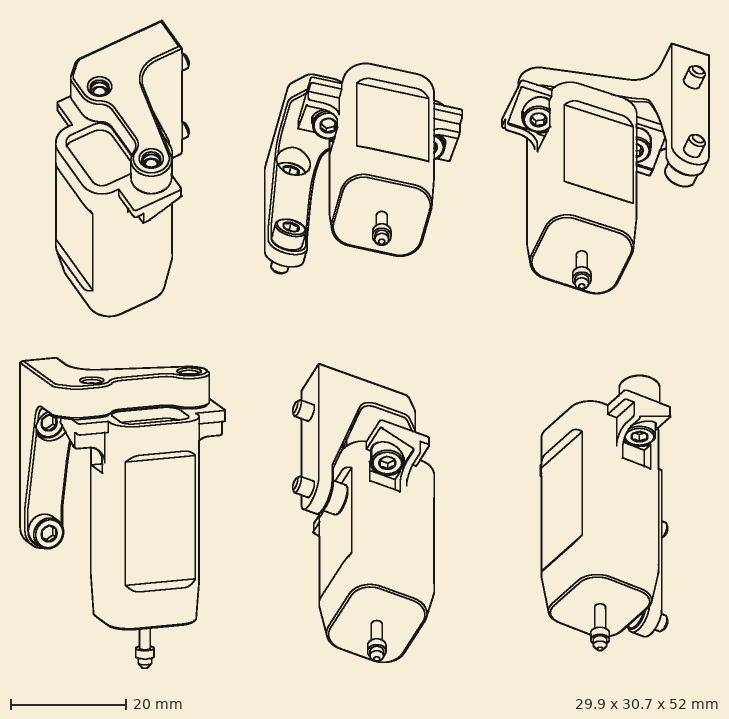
import cadquery as cq
import math

overall_x = 29.85

body_width = 16.15
body_depth = 17.45
body_height = 37.0
body_corner_radius = 4.0
body_bottom_chamfer = 0.3
taper_height = 7.05
taper_angle = 12.0
grip_depth = 0.8
grip_top = 31.8
grip_bottom = 7.25
grip_ramp = 1.2
pocket_width = 12.5
pocket_front_y = -6.85
pocket_depth = 2.0
pocket_front_radius = 2.0

flange_width = 27.2
flange_depth = 9.5
flange_y = 1.05
flange_thickness = 2.0
flange_corner_radius = 0.4
rib_height = 4.95
rib_fillet = 3.0
rib_front_y = -1.85
rib_flat_depth = 1.25

thread_diameter = 3.0
head_diameter = 5.5
head_height = 3.0
head_chamfer = 0.25
socket_sides = 6
socket_corner_diameter = 2.9
socket_countersink = 0.2
socket_depth = 1.55
thread_end_chamfer = 0.45
flange_screw_x = 9.0
flange_screw_y = 2.3
flange_screw_length = 6.4
mount_screw_x = -13.0
mount_screw_spacing = 19.95
mount_screw_length = 6.0
mount_screw_tip_y = 22.0
mount_screw_projection = 3.0
head_pocket_width = 5.8
head_pocket_height = 5.15

plate_thickness = 6.0
boss_radius = 3.55
arm_angle = 12.0
arm_fillet = 5.0
leg_width = 7.0
screw_drop = 10.05
slope_angle = 16.6
slope_fillet = 3.0
pad_height = 7.6
outer_corner_cut = 3.0
outer_corner_radius = 2.0
relief_radius = 2.5
relief_y = 1.8
bracket_chamfer = 0.4
counterbore_diameter = 6.0
countersink_diameter = 4.2
countersink_depth = 0.3

insert_diameter = 3.3
insert_recess = 0.95

needle_shaft_diameter = 1.9
needle_collar_diameter = 3.2
needle_nose_diameter = 2.4
needle_tip_diameter = 1.05
needle_collar_top = -5.5
needle_collar_bottom = -7.0
needle_cone_top = -8.15
needle_tip = -9.0

plate_top = body_height + plate_thickness
rib_bottom = body_height - rib_height
flange_bottom = body_height - flange_thickness
flange_back_y = flange_y + flange_depth / 2
leg_left = flange_width / 2 - overall_x
leg_right = leg_left + leg_width
leg_back_y = mount_screw_tip_y - mount_screw_projection
pad_y = mount_screw_tip_y - mount_screw_length
upper_screw_z = plate_top - screw_drop
lower_screw_z = upper_screw_z - mount_screw_spacing
leg_bottom = lower_screw_z - leg_width / 2


def cap_screw(length):
    """Socket head cap screw: seat at Z = 0, thread along +Z, head along -Z."""
    head = (
        cq.Workplane("XY").workplane(offset=-head_height)
        .circle(head_diameter / 2).extrude(head_height)
        .faces("<Z").edges().chamfer(head_chamfer)
    )
    thread = (
        cq.Workplane("XY").circle(thread_diameter / 2).extrude(length)
        .faces(">Z").edges().chamfer(thread_end_chamfer)
    )
    socket = (
        cq.Workplane("XY").workplane(offset=-head_height)
        .transformed(rotate=(0, 0, 180 / socket_sides))
        .polygon(socket_sides, socket_corner_diameter).extrude(socket_depth)
    )
    countersink = cq.Workplane(
        cq.Solid.makeCone(
            socket_corner_diameter / 2, socket_corner_diameter / 2 - socket_countersink,
            socket_countersink, cq.Vector(0, 0, -head_height),
        )
    )
    return head.union(thread).cut(socket).cut(countersink)


def flange_screws():
    """Two screws that rise through the flange into the bracket."""
    screw = cap_screw(flange_screw_length)
    return [
        screw.translate((side * flange_screw_x, flange_screw_y, flange_bottom))
        for side in (-1, 1)
    ]


def mount_screws():
    """Two screws that pass backwards through the bracket's leg."""
    screw = cap_screw(mount_screw_length).rotate((0, 0, 0), (1, 0, 0), -90)
    return [
        screw.translate((mount_screw_x, pad_y, z))
        for z in (lower_screw_z, upper_screw_z)
    ]


def tapered_body():
    """Rounded prism whose front and back lean inwards towards the lower end."""
    reach = 2 * body_height
    body = cq.Workplane("XY").rect(body_width, body_depth).extrude(body_height)
    body = body.edges("|Z").fillet(body_corner_radius)
    for side in (-1, 1):
        leaning = (
            cq.Workplane("XY").workplane(offset=-reach)
            .center(0, -side * body_depth / 2)
            .rect(body_width, 2 * body_depth).extrude(2 * reach)
            .edges("|Z").fillet(body_corner_radius)
            .translate((0, 0, taper_height))
        )
        pivot_y = side * body_depth / 2
        leaning = leaning.rotate(
            (0, pivot_y, taper_height), (1, pivot_y, taper_height), -side * taper_angle
        )
        body = body.intersect(leaning)
    return body.faces("<Z").edges().chamfer(body_bottom_chamfer)


def grip_recesses():
    """Flat recesses with sloping ends across the front and back."""
    face_y = body_depth / 2
    floor_y = face_y - grip_depth
    recess = (
        cq.Workplane("YZ").workplane(offset=-body_width / 2)
        .moveTo(face_y, grip_bottom).lineTo(floor_y, grip_bottom + grip_ramp)
        .lineTo(floor_y, grip_top - grip_ramp).lineTo(face_y, grip_top)
        .close().extrude(body_width)
    )
    return recess.union(recess.mirror("XZ"))


def flange():
    return (
        cq.Workplane("XY").workplane(offset=flange_bottom)
        .center(0, flange_y).rect(flange_width, flange_depth).extrude(flange_thickness)
        .edges("|Z").fillet(flange_corner_radius)
    )


def ribs():
    """Ribs below the flange; their underside rises from a front strip to the flange's back edge."""
    half_width = flange_width / 2
    half_body = body_width / 2
    outline = (
        cq.Workplane("XZ", origin=(0, flange_back_y, 0))
        .moveTo(0, flange_bottom).lineTo(half_width, flange_bottom)
        .lineTo(half_width, rib_bottom + flange_corner_radius)
        .radiusArc((half_width - flange_corner_radius, rib_bottom), flange_corner_radius)
        .lineTo(half_body + rib_fillet, rib_bottom)
        .radiusArc((half_body, rib_bottom - rib_fillet), -rib_fillet)
        .lineTo(0, rib_bottom - rib_fillet)
        .close().extrude(flange_back_y - rib_front_y)
    )
    slope_start_y = rib_front_y + rib_flat_depth
    side_profile = (
        cq.Workplane("YZ")
        .moveTo(slope_start_y, rib_bottom - rib_fillet)
        .lineTo(slope_start_y, rib_bottom + flange_corner_radius)
        .lineTo(flange_back_y, flange_bottom).lineTo(flange_back_y, rib_bottom - rib_fillet)
        .close().extrude(half_width)
    )
    rib = outline.cut(side_profile)
    return rib.union(rib.mirror("YZ"))


def head_pockets():
    """Thread holes, round counterbores and square pockets that give the flange screws room."""
    floor_z = rib_bottom - head_pocket_height
    pockets = cq.Workplane("XY")
    for side in (-1, 1):
        thread_hole = (
            cq.Workplane("XY").workplane(offset=flange_bottom)
            .circle(thread_diameter / 2).extrude(flange_thickness)
        )
        counterbore = (
            cq.Workplane("XY").workplane(offset=rib_bottom)
            .circle(head_pocket_width / 2).extrude(flange_bottom - rib_bottom)
        )
        pocket = (
            cq.Workplane("XY").workplane(offset=floor_z)
            .rect(head_pocket_width, head_pocket_width).extrude(head_pocket_height)
        )
        access = thread_hole.union(counterbore).union(pocket)
        pockets = pockets.union(access.translate((side * flange_screw_x, flange_screw_y, 0)))
    return pockets


def top_pocket():
    """Shallow pocket in the top face, ending below the front edge of the bracket's plate."""
    length = relief_y - pocket_front_y
    return (
        cq.Workplane("XY").workplane(offset=body_height - pocket_depth)
        .center(0, pocket_front_y + length / 2)
        .rect(pocket_width, length).extrude(pocket_depth)
        .edges("|Z and >Y").fillet(relief_radius)
        .edges("|Z and <Y").fillet(pocket_front_radius)
    )


def make_housing():
    body = tapered_body().cut(grip_recesses())
    return body.union(flange()).union(ribs()).cut(head_pockets()).cut(top_pocket())


def bracket_plan():
    """Plan outline of the bracket, extruded from the lower mounting screw up to the top face."""
    lean = math.radians(arm_angle)
    boss_bottom_y = flange_screw_y - boss_radius

    arm_end = (
        flange_screw_x + boss_radius * math.sin(lean),
        flange_screw_y + boss_radius * math.cos(lean),
    )
    arm_corner_y = arm_end[1] + (arm_end[0] - leg_right) * math.tan(lean)
    fillet_length = arm_fillet * math.tan((math.pi / 2 - lean) / 2)
    fillet_start = (leg_right, arm_corner_y + fillet_length)
    fillet_end = (
        leg_right + fillet_length * math.cos(lean),
        arm_corner_y - fillet_length * math.sin(lean),
    )

    relief_center_y = relief_y - relief_radius
    reach = boss_radius + relief_radius
    rise = flange_screw_y - relief_center_y
    run = math.sqrt(reach**2 - rise**2)
    relief_x = flange_screw_x - run
    touch_x = flange_screw_x - run * boss_radius / reach
    touch_y = flange_screw_y - rise * boss_radius / reach

    tangent = outer_corner_radius * math.tan(math.pi / 8)
    diagonal = tangent * math.sqrt(0.5)
    cut_y = boss_bottom_y + outer_corner_cut
    cut_x = leg_left + outer_corner_cut

    return (
        cq.Workplane("XY").workplane(offset=lower_screw_z)
        .moveTo(leg_left, leg_back_y).lineTo(leg_right, leg_back_y)
        .lineTo(*fillet_start).radiusArc(fillet_end, -arm_fillet)
        .lineTo(*arm_end)
        .threePointArc((flange_screw_x + boss_radius, flange_screw_y), (flange_screw_x, boss_bottom_y))
        .radiusArc((touch_x, touch_y), boss_radius)
        .radiusArc((relief_x, relief_y), -relief_radius)
        .lineTo(-relief_x, relief_y)
        .radiusArc((-touch_x, touch_y), -relief_radius)
        .radiusArc((-flange_screw_x, boss_bottom_y), boss_radius)
        .lineTo(cut_x + tangent, boss_bottom_y)
        .radiusArc((cut_x - diagonal, boss_bottom_y + diagonal), outer_corner_radius)
        .lineTo(leg_left + diagonal, cut_y - diagonal)
        .radiusArc((leg_left, cut_y + tangent), outer_corner_radius)
        .close().extrude(plate_top - lower_screw_z)
    )


def bracket_side():
    """Side profile of the bracket: top plate, sloping web and lower pad."""
    front_y = -body_depth
    pad_top = leg_bottom + pad_height
    slope_run = (body_height - pad_top) * math.tan(math.radians(slope_angle))
    profile = (
        cq.Workplane("YZ").workplane(offset=-overall_x)
        .moveTo(leg_back_y, leg_bottom).lineTo(leg_back_y, plate_top)
        .lineTo(front_y, plate_top).lineTo(front_y, body_height)
        .lineTo(pad_y - slope_run, body_height).lineTo(pad_y, pad_top)
        .lineTo(pad_y, leg_bottom)
        .close().extrude(2 * overall_x)
    )
    inner_corner = cq.selectors.NearestToPointSelector((0, pad_y - slope_run, body_height))
    return profile.edges("|X").edges(inner_corner).fillet(slope_fillet)


def leg_end():
    """Rounded lower end of the leg, around the lower mounting screw."""
    return (
        cq.Workplane("XZ", origin=(leg_left + leg_width / 2, leg_back_y, lower_screw_z))
        .circle(leg_width / 2).extrude(leg_back_y - pad_y)
    )


def insert_holes():
    """Holes through the top plate, countersunk at the top."""
    hole_radius = insert_diameter / 2
    rim_radius = countersink_diameter / 2
    profile = (
        cq.Workplane("XZ").moveTo(0, body_height).lineTo(hole_radius, body_height)
        .lineTo(hole_radius, plate_top - countersink_depth)
        .lineTo(rim_radius, plate_top).lineTo(0, plate_top)
        .close().revolve(360, (0, 0, 0), (0, 1, 0))
    )
    holes = cq.Workplane("XY")
    for side in (-1, 1):
        holes = holes.union(profile.translate((side * flange_screw_x, flange_screw_y, 0)))
    return holes


def mount_holes():
    """Thread holes through the leg; the upper one is counterbored out of the slope."""
    holes = (
        cq.Workplane("XZ", origin=(mount_screw_x, leg_back_y, 0))
        .pushPoints([(0, lower_screw_z), (0, upper_screw_z)])
        .circle(thread_diameter / 2).extrude(leg_back_y - pad_y)
    )
    counterbore = (
        cq.Workplane("XZ", origin=(mount_screw_x, pad_y, upper_screw_z))
        .circle(counterbore_diameter / 2).extrude(pad_y)
    )
    return holes.union(counterbore)


def make_bracket():
    bracket = bracket_plan().intersect(bracket_side()).union(leg_end())
    bracket = bracket.faces(">Z").edges().chamfer(bracket_chamfer)
    underside_edge = cq.selectors.NearestToPointSelector((0, relief_y, body_height))
    pad_edge = cq.selectors.NearestToPointSelector(
        (leg_left + leg_width / 2, pad_y, leg_bottom)
    )
    bracket = bracket.edges(underside_edge + pad_edge).chamfer(bracket_chamfer)
    return bracket.cut(insert_holes()).cut(mount_holes())


def threaded_inserts():
    """Plain sleeves between the flange screws and the bracket."""
    sleeve = (
        cq.Workplane("XY").workplane(offset=body_height)
        .circle(insert_diameter / 2).circle(thread_diameter / 2)
        .extrude(plate_thickness - insert_recess)
    )
    return [sleeve.translate((side * flange_screw_x, flange_screw_y, 0)) for side in (-1, 1)]


def make_needle():
    """Turned needle with a collar and a pointed nose."""
    return (
        cq.Workplane("XZ")
        .moveTo(0, 0).lineTo(needle_shaft_diameter / 2, 0)
        .lineTo(needle_shaft_diameter / 2, needle_collar_top)
        .lineTo(needle_collar_diameter / 2, needle_collar_top)
        .lineTo(needle_collar_diameter / 2, needle_collar_bottom)
        .lineTo(needle_nose_diameter / 2, needle_collar_bottom)
        .lineTo(needle_nose_diameter / 2, needle_cone_top)
        .lineTo(needle_tip_diameter / 2, needle_tip).lineTo(0, needle_tip)
        .close().revolve(360, (0, 0, 0), (0, 1, 0))
    )


housing = make_housing()
bracket = make_bracket().cut(housing)
needle = make_needle()
inserts = threaded_inserts()
screws = flange_screws() + mount_screws()

result = cq.Compound.makeCompound(
    [body.val() for body in (housing, bracket, needle, *inserts, *screws)]
)